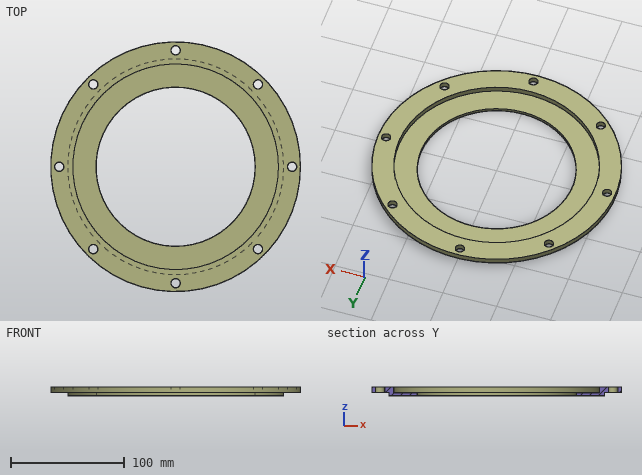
import cadquery as cq

outer_diameter = 220
total_height = 8.0
flange_thickness = 5.0

spigot_diameter = 190.0
spigot_height = total_height - flange_thickness

recess_diameter = 181.0
recess_depth = 5.0
bore_diameter = 140.0

bolt_count = 8
bolt_circle_diameter = 205.0
bolt_hole_diameter = 8.0


def disc(diameter, bottom, height):
    """Solid disc about the Z axis, standing on the given level."""
    return cq.Workplane("XY").workplane(offset=bottom).circle(diameter / 2).extrude(height)


spigot = disc(spigot_diameter, 0, spigot_height)
flange = disc(outer_diameter, spigot_height, flange_thickness)
recess = disc(recess_diameter, total_height - recess_depth, recess_depth)
bore = disc(bore_diameter, 0, total_height)

bolt_holes = (
    cq.Workplane("XY")
    .polarArray(bolt_circle_diameter / 2, 0, 360, bolt_count)
    .circle(bolt_hole_diameter / 2)
    .extrude(total_height)
)

result = spigot.union(flange).cut(recess).cut(bore).cut(bolt_holes)